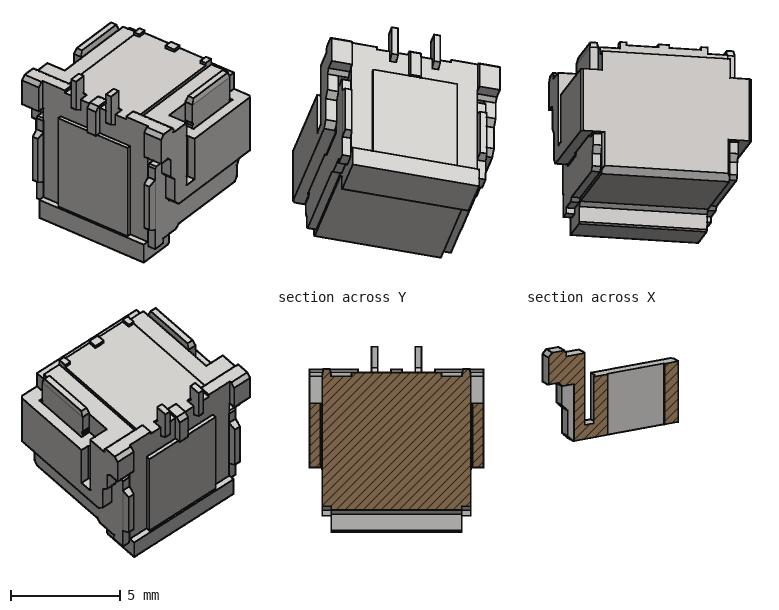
import cadquery as cq


width = 8.0
depth = 6.9
height = 8.5
body_half = 3.0
wing_half = width / 2
front_face = 0.33
lug_front = 0.03
body_bottom = 1.0
shoulder_top = 7.15
lid_top = 7.32
lid_half = 2.065
rear_step_y = 6.41
rear_step_z = 6.82
edge_chamfer = 0.1
rear_bevel_height = 0.34
rear_bevel_depth = 0.21

foot_rear = 1.97
foot_slope = 0.195
foot_chamfer = 0.085

panel_half = 2.0
panel_top = 5.92
panel_front = 0.14
lug_top = 7.455
lug_rear = 0.99
lug_bottom = panel_top
lug_chamfer = 0.2
lug_inner = 3.03
notch_half = 1.76
rib_half = 0.255
tab_front = 5.99

yoke_outer = 3.41
wing_top = lug_bottom
wing_bottom = 2.96
wing_front_rear = foot_rear
slot_rear = 2.58
slot_bottom = 3.66
slot_inner = yoke_outer
slot_bevel_width = 0.19
slot_bevel_depth = 0.19
gusset_height = 0.4
lug_neck_y = 0.58
neck_chamfer = 0.195
middle_step_z = 4.79
step_chamfer = 0.3
pad_outer = 3.42
pad_depth = 0.08
front_pad = (1.4, 3.085)
rear_pad = (6.22, 6.8)

gap_outer = 3.48
yoke_front = 0.365
yoke_top = 5.295
yoke_foot = 0.74
yoke_chamfer = 0.085
yoke_rise = 0.17
yoke_rear = 6.78
yoke_neck_top = 2.35
yoke_neck_bottom = 1.98
yoke_heel = 6.6
yoke_heel_height = 0.21
yoke_heel_chamfer = 0.17
opening_rear = 6.16
clip_rear = 6.05
clip_front = 3.2
clip_shoulder = 7.225
clip_top = 7.49
clip_taper = 0.05
top_clip_ends = (3.35, 5.96)
front_clip_root = (1.81, 4.59)
front_clip_ends = (1.98, 4.395)
clip_notch_z = 6.14
clip_notch = 0.07

pin_pitch = 2.01
pin_width = 0.3
pin_depth = 0.58
pin_bottom = 6.74
pin_slope = 0.19
pin_gusset = 0.22


def box(x_range, y_range, z_range):
    size = [high - low for low, high in (x_range, y_range, z_range)]
    return cq.Workplane("XY").box(*size, centered=False).translate((x_range[0], y_range[0], z_range[0]))


def slab(points_yz, x_start, x_end):
    """Extrude a Y-Z outline along X."""
    return cq.Workplane("YZ").workplane(offset=x_start).polyline(points_yz).close().extrude(x_end - x_start)


def both_sides(shape):
    return shape.union(shape.mirror("YZ"))


def make_body():
    outline = [
        (front_face, body_bottom),
        (front_face, shoulder_top),
        (rear_step_y, shoulder_top),
        (rear_step_y, rear_step_z),
        (depth, rear_step_z),
        (depth, body_bottom + rear_bevel_height),
        (depth - rear_bevel_depth, body_bottom),
    ]
    body = slab(outline, -body_half, body_half)
    lid = box((-lid_half, lid_half), (front_face, rear_step_y), (shoulder_top, lid_top))
    bevel = (
        cq.Workplane("XY")
        .polyline([
            (body_half, depth - edge_chamfer),
            (body_half, depth),
            (body_half - edge_chamfer, depth),
        ])
        .close()
        .extrude(wing_bottom)
    )
    return body.union(lid).cut(both_sides(bevel))


def make_foot():
    outline = [
        (lug_front, 0),
        (lug_front, body_bottom),
        (foot_rear + foot_slope, body_bottom),
        (foot_rear, body_bottom - foot_slope),
        (foot_rear, foot_chamfer),
        (foot_rear - foot_chamfer, 0),
    ]
    return slab(outline, -body_half, body_half)


def ridge(x_start, x_end):
    """Raised front ridge with bevelled top edges, shared by the lugs and the centre rib."""
    outline = [
        (front_face, lug_bottom),
        (lug_front, lug_bottom),
        (lug_front, lug_top - lug_chamfer),
        (lug_front + lug_chamfer, lug_top),
        (lug_rear - edge_chamfer, lug_top),
        (lug_rear, lid_top),
        (lug_rear, shoulder_top),
        (front_face, shoulder_top),
    ]
    return slab(outline, x_start, x_end)


def make_front_details():
    panel = box((-panel_half, panel_half), (panel_front, front_face), (body_bottom, panel_top))
    rib = ridge(-rib_half, rib_half)
    lug = ridge(lug_inner, wing_half)
    lug_bridge = ridge(notch_half, lug_inner).intersect(
        box((notch_half, lug_inner), (front_face, lug_rear), (shoulder_top, lug_top))
    )
    return panel.union(rib).union(both_sides(lug.union(lug_bridge)))


def make_rear_tabs():
    tab_y = (tab_front, rear_step_y)
    centre = box((-rib_half, rib_half), tab_y, (lid_top, lug_top))
    side = box((notch_half, lid_half), tab_y, (lid_top, lug_top))
    return centre.union(both_sides(side))


def make_wing():
    upper_y = lug_neck_y + neck_chamfer
    lower_y = upper_y + step_chamfer
    neck_bottom = lug_bottom - neck_chamfer
    gusset_rear = slot_rear - slot_bevel_depth
    outline = [
        (front_face, shoulder_top),
        (front_face, lug_bottom),
        (lug_neck_y, lug_bottom),
        (upper_y, neck_bottom),
        (upper_y, middle_step_z),
        (lower_y, middle_step_z - step_chamfer),
        (lower_y, wing_bottom + step_chamfer),
        (lower_y + step_chamfer, wing_bottom),
        (depth, wing_bottom),
        (depth, wing_top),
        (wing_front_rear, wing_top),
        (wing_front_rear, shoulder_top),
    ]
    wing = slab(outline, body_half, wing_half)
    wing = wing.edges("|Z and >X and >Y").chamfer(edge_chamfer)

    slot = (
        cq.Workplane("XY")
        .workplane(offset=slot_bottom)
        .polyline([
            (slot_inner, wing_front_rear),
            (wing_half, wing_front_rear),
            (wing_half, slot_rear),
            (slot_inner + slot_bevel_width, slot_rear),
            (slot_inner, slot_rear - slot_bevel_depth),
        ])
        .close()
        .extrude(height)
    )
    gusset = slab(
        [
            (wing_front_rear, wing_top),
            (gusset_rear, wing_top),
            (wing_front_rear, wing_top + gusset_height),
        ],
        body_half,
        slot_inner,
    )
    clip_opening = box((body_half, gap_outer), (clip_front, opening_rear), (0, height))
    front_recess = box((body_half, gap_outer), (0, front_pad[0]), (0, neck_bottom))
    wing = wing.cut(slot).union(gusset).cut(clip_opening).cut(front_recess)
    for pad_y in (front_pad, rear_pad):
        wing = wing.union(box((body_half, pad_outer), pad_y, (wing_bottom - pad_depth, wing_bottom)))
    return wing


def make_yoke():
    plate_bottom = body_bottom + yoke_rise
    outline = [
        (yoke_front, yoke_foot),
        (yoke_front, yoke_top - yoke_chamfer),
        (yoke_front + yoke_chamfer, yoke_top),
        (front_pad[0], yoke_top),
        (front_pad[0], wing_bottom),
        (yoke_rear, wing_bottom),
        (yoke_rear, yoke_neck_top),
        (yoke_heel, yoke_neck_bottom),
        (yoke_heel, plate_bottom + yoke_heel_height),
        (yoke_heel - yoke_heel_chamfer, plate_bottom),
        (foot_rear + foot_slope, plate_bottom),
        (foot_rear, body_bottom),
        (lug_rear, body_bottom),
        (lug_rear, yoke_foot),
    ]
    return slab(outline, body_half, yoke_outer)


def tapered_tip(plane, root, tip, root_offset, tip_offset):
    """Taper from a full-thickness root to a thinner, shorter tip along the normal of the plane."""
    mid_x = (body_half + yoke_outer) / 2
    thickness = yoke_outer - body_half
    sketch = cq.Workplane(plane).workplane(offset=root_offset)
    sketch = sketch.center(mid_x, sum(root) / 2).rect(thickness, root[1] - root[0])
    sketch = sketch.workplane(offset=tip_offset - root_offset).center(0, (sum(tip) - sum(root)) / 2)
    return sketch.rect(thickness - 2 * clip_taper, tip[1] - tip[0]).loft(ruled=True)


def make_clips():
    span = (clip_front, clip_rear)
    flare = opening_rear - clip_rear
    outline = [
        (clip_front, wing_bottom),
        (clip_front, clip_shoulder),
        (clip_rear, clip_shoulder),
        (clip_rear, wing_top),
        (opening_rear, wing_top - flare),
        (opening_rear, wing_bottom),
    ]
    blade = slab(outline, body_half, yoke_outer)
    notch = slab(
        [
            (clip_front, clip_notch_z - clip_notch),
            (clip_front + clip_notch, clip_notch_z),
            (clip_front, clip_notch_z + clip_notch),
        ],
        body_half,
        yoke_outer,
    )
    top_tip = tapered_tip("XY", span, top_clip_ends, clip_shoulder, clip_top)
    front_tip = tapered_tip("XZ", front_clip_root, front_clip_ends, -yoke_front, 0)
    return blade.cut(notch).union(top_tip).union(front_tip)


def make_pin(centre_x):
    outline = [
        (0, height),
        (pin_depth, height),
        (pin_depth, lid_top + pin_gusset),
        (pin_depth + pin_gusset, lid_top),
        (pin_depth, pin_bottom),
        (front_face, pin_bottom),
        (0, pin_bottom + pin_slope),
    ]
    return slab(outline, centre_x - pin_width / 2, centre_x + pin_width / 2)


side_parts = make_wing().union(make_yoke()).union(make_clips())
result = make_body().union(make_foot()).union(make_front_details()).union(make_rear_tabs())
result = result.union(both_sides(side_parts))
for pin_x in (-pin_pitch / 2, pin_pitch / 2):
    result = result.union(make_pin(pin_x))